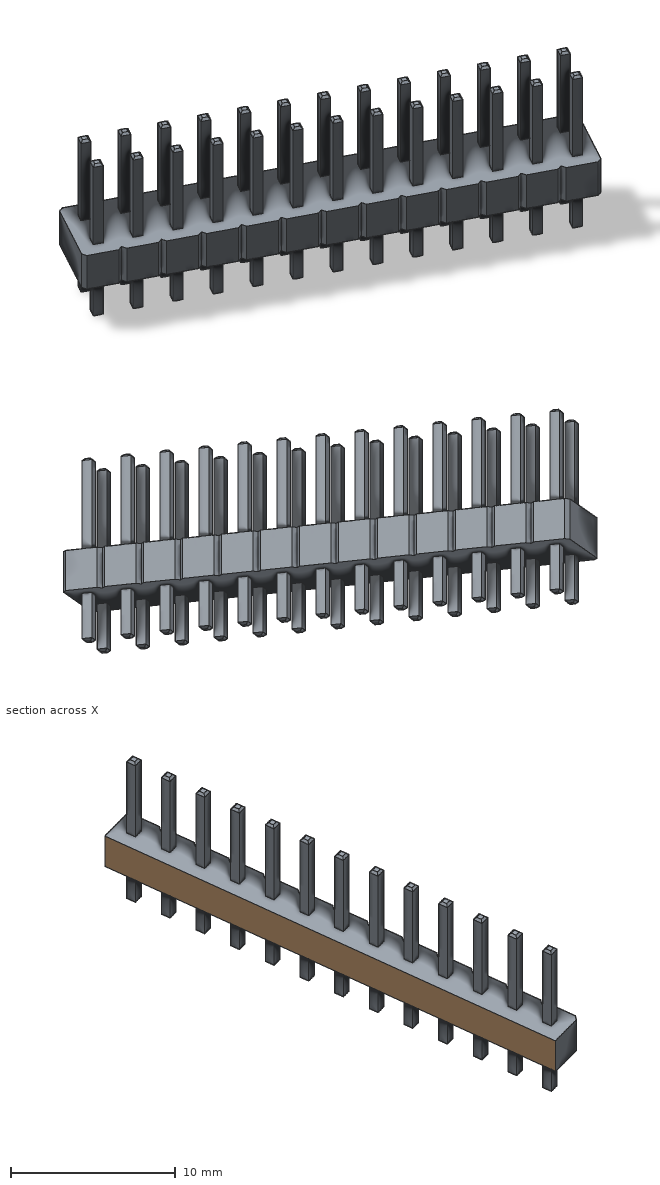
import cadquery as cq

pitch = 2.54
columns = 2
rows = 13
body_height = 2.54
body_chamfer = pitch / 10
pin_width = 0.64
pin_tip_chamfer = 0.15
pin_length_above = 6.0
pin_length_below = 3.0

body_width = columns * pitch
pin_length = pin_length_below + body_height + pin_length_above


def make_body():
    """Plastic strip: one block per row, with chamfered upright edges that form V notches between rows."""
    block = (
        cq.Workplane("XY")
        .box(body_width, pitch, body_height, centered=(True, True, False))
        .edges("|Z")
        .chamfer(body_chamfer)
    )
    body = block
    for row in range(1, rows):
        body = body.union(block.translate((0, row * pitch, 0)))
    return body.translate((0, -(rows - 1) * pitch / 2, 0))


def make_pins():
    """Square pins with chamfered tips, on a grid centred on the body."""
    pin = (
        cq.Workplane("XY")
        .box(pin_width, pin_width, pin_length, centered=(True, True, False))
        .faces("<Z or >Z")
        .chamfer(pin_tip_chamfer)
        .translate((0, 0, -pin_length_below))
    )
    return (
        cq.Workplane("XY")
        .rarray(pitch, pitch, columns, rows)
        .eachpoint(lambda location: pin.val().moved(location))
    )


result = make_body().union(make_pins()).clean()